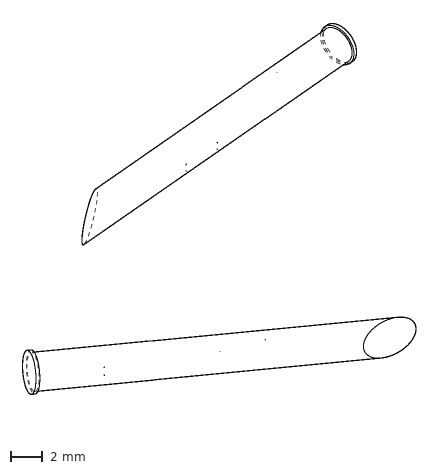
import cadquery as cq
import math

total_length = 26.0
flange_diameter = 2.8
flange_thickness = 0.25
collar_diameter = 2.5
shaft_diameter = 2.47
taper_start = 8.1
taper_length = 0.15
bevel_angle = 30.0

flat_width = 0.57
flat_length = 3.22
flat_end_slope = 0.15
left_flat_start = 4.45
right_flat_start = 12.92

rear_y = total_length / 2
tip_y = -total_length / 2
flange_radius = flange_diameter / 2
collar_radius = collar_diameter / 2
shaft_radius = shaft_diameter / 2


def make_blank():
    """Turned profile: flange, collar, fine taper and shaft."""
    flange_front = rear_y - flange_thickness
    taper_rear = rear_y - taper_start
    return (
        cq.Workplane("XY")
        .moveTo(0, rear_y)
        .lineTo(flange_radius, rear_y)
        .lineTo(flange_radius, flange_front)
        .lineTo(collar_radius, flange_front)
        .lineTo(collar_radius, taper_rear)
        .lineTo(shaft_radius, taper_rear - taper_length)
        .lineTo(shaft_radius, tip_y)
        .lineTo(0, tip_y)
        .close()
        .revolve(360, (0, 0, 0), (0, 1, 0))
    )


def make_bevel_cutter():
    """Wedge that leaves the sharp tip on the +X side."""
    bevel_length = shaft_diameter / math.tan(math.radians(bevel_angle))
    return (
        cq.Workplane("XY")
        .moveTo(shaft_radius, tip_y)
        .lineTo(-shaft_radius, tip_y + bevel_length)
        .lineTo(-flange_radius, tip_y + bevel_length)
        .lineTo(-flange_radius, tip_y)
        .close()
        .extrude(flange_radius, both=True)
    )


def make_flat_cutter(side, start, radius):
    """Cutter for one flat on the +X (side=1) or -X (side=-1) surface."""
    floor_x = side * math.sqrt(radius**2 - (flat_width / 2) ** 2)
    surface_x = side * radius
    flat_rear = rear_y - start
    flat_front = flat_rear - flat_length
    return (
        cq.Workplane("XY")
        .moveTo(surface_x, flat_rear)
        .lineTo(floor_x, flat_rear - flat_end_slope)
        .lineTo(floor_x, flat_front + flat_end_slope)
        .lineTo(surface_x, flat_front)
        .close()
        .extrude(radius, both=True)
    )


result = (
    make_blank()
    .cut(make_bevel_cutter())
    .cut(make_flat_cutter(-1, left_flat_start, collar_radius))
    .cut(make_flat_cutter(1, right_flat_start, shaft_radius))
)